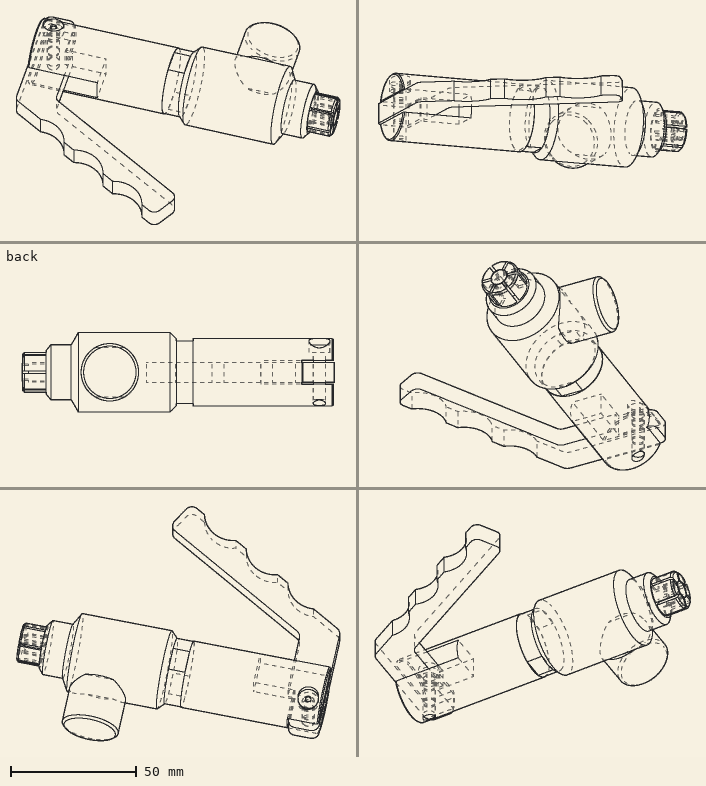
import cadquery as cq
import math


barrel_start = 0.4
barrel_chamfer = 0.5
barrel_radius = 27.0 / 2
neck_start = 56.1
neck_radius = 26.6 / 2
body_rear = 62.8
body_radius = 31.8 / 2
body_rear_chamfer = body_radius - neck_radius
cone_start = 101.8
nose_radius = 22.0 / 2
cone_angle = 60.0
nose_end = 114.6
nose_chamfer_length = 1.9
nose_shoulder_length = 1.1
nose_shoulder_radius = 10.0
nose_end_radius = 8.7

flat_spacing = 25.0

tip_radius = 15.9 / 2
tip_end = 123.9
tip_chamfer = 0.7
tip_slit_count = 6
tip_slit_width = 1.1
tip_slit_floor_radius = 4.2
tip_slit_step = 121.7
tip_core_radius = 7.0 / 2
tip_core_end = 124.2

port_x = 89.3
port_radius = 22.8 / 2
port_bottom = 12.4
port_top = 31.3
port_chamfer = 1.0

slot_width = 9.4
slot_end_upper = 12.9
slot_end_lower = 29.2

pin_x = 6.0
pin_y = 5.2
pin_diameter = 4.8
pin_hole_diameter = 5.0
head_diameter = 8.2
head_recess_diameter = 8.3
head_top = 10.9
head_bottom = 8.0
pin_dimple_diameter = 2.4
pin_dimple_depth = 1.0

lever_thickness = 8.0
lever_top = 15.5
foot_width = 12.4
shank_width = 15.4
shank_step_y = -0.4
handle_angle = 30.0
elbow_outer_y = -29.0
grip_line_y = -30.8
handle_width = 13.0
handle_length = 80.0
lever_fillet = 3.0
groove_radius = 11.4
groove_depth = 3.6
groove_count = 3
groove_pitch = 22.2
first_groove = 20.1


def make_turned_body():
    cone_end = cone_start + (body_radius - nose_radius) / math.tan(math.radians(cone_angle))
    profile = [
        (barrel_start, 0),
        (barrel_start, barrel_radius - barrel_chamfer),
        (barrel_start + barrel_chamfer, barrel_radius),
        (neck_start, barrel_radius),
        (neck_start, neck_radius),
        (body_rear, neck_radius),
        (body_rear + body_rear_chamfer, body_radius),
        (cone_start, body_radius),
        (cone_end, nose_radius),
        (nose_end - nose_chamfer_length, nose_radius),
        (nose_end - nose_shoulder_length, nose_shoulder_radius),
        (nose_end, nose_end_radius),
        (nose_end, tip_radius),
        (tip_end - tip_chamfer, tip_radius),
        (tip_end, tip_radius - tip_chamfer),
        (tip_end, tip_core_radius),
        (tip_core_end, tip_core_radius),
        (tip_core_end, 0),
    ]
    return cq.Workplane("XY").polyline(profile).close().revolve(360, (0, 0, 0), (1, 0, 0))


def cut_neck_flats(body):
    length = body_rear - neck_start
    for side in (1, -1):
        cutter = (
            cq.Workplane("XY")
            .box(length, 2 * barrel_radius, barrel_radius, centered=(False, True, True))
            .translate((neck_start, 0, side * (flat_spacing + barrel_radius) / 2))
        )
        body = body.cut(cutter)
    return body


def cut_tip_slits(body):
    """Radial slits around the tip, slightly deeper towards the free end."""
    slit = (
        cq.Workplane("XY", origin=(0, 0, -tip_slit_width / 2))
        .moveTo(nose_end, tip_radius)
        .lineTo(nose_end, tip_slit_floor_radius)
        .lineTo(tip_slit_step, tip_slit_floor_radius)
        .lineTo(tip_slit_step, tip_core_radius)
        .lineTo(tip_end, tip_core_radius)
        .lineTo(tip_end, tip_radius)
        .close()
        .extrude(tip_slit_width)
    )
    for index in range(tip_slit_count):
        body = body.cut(slit.rotate((0, 0, 0), (1, 0, 0), index * 360 / tip_slit_count))
    return body


def add_port(body):
    """Port whose flat underside overhangs the round body."""
    port = (
        cq.Workplane("XZ", origin=(port_x, port_bottom, 0))
        .circle(port_radius)
        .extrude(port_bottom - port_top)
        .faces(">Y")
        .chamfer(port_chamfer)
    )
    return body.union(port)


def cut_lever_slot(body):
    slot = (
        cq.Workplane("XY", origin=(0, 0, -slot_width / 2))
        .moveTo(0, -body_radius)
        .lineTo(slot_end_lower, -body_radius)
        .lineTo(slot_end_lower, 0)
        .lineTo(slot_end_upper, 0)
        .lineTo(slot_end_upper, body_radius)
        .lineTo(0, body_radius)
        .close()
        .extrude(slot_width)
    )
    return body.cut(slot)


def pivot_cylinder(diameter, bottom, top):
    return cq.Workplane("XY", origin=(pin_x, pin_y, bottom)).circle(diameter / 2).extrude(top - bottom)


def make_housing():
    body = make_turned_body()
    body = cut_neck_flats(body)
    body = cut_tip_slits(body)
    body = add_port(body)
    body = cut_lever_slot(body)
    body = body.cut(pivot_cylinder(pin_hole_diameter, -body_radius, body_radius))
    return body.cut(pivot_cylinder(head_recess_diameter, head_bottom, body_radius))


def handle_point(along, inward):
    """Point measured along the grip lands and inward from them."""
    cosine = math.cos(math.radians(handle_angle))
    sine = math.sin(math.radians(handle_angle))
    return (along * cosine + inward * sine, grip_line_y - along * sine + inward * cosine)


def make_lever():
    slope = math.tan(math.radians(handle_angle))
    cosine = math.cos(math.radians(handle_angle))
    elbow_outer = (0, elbow_outer_y)
    elbow_inner = (shank_width, grip_line_y + handle_width / cosine - shank_width * slope)
    elbow_offset = (elbow_outer_y - grip_line_y) * cosine
    end_inner = handle_point(handle_length, handle_width)
    end_outer = handle_point(handle_length, 0)
    foot_rear = (0, lever_top)
    foot_front = (foot_width, lever_top)
    outline = [
        foot_rear,
        foot_front,
        (foot_width, shank_step_y),
        (shank_width, shank_step_y),
        elbow_inner,
        end_inner,
        end_outer,
        handle_point(first_groove, 0),
        handle_point(first_groove, elbow_offset),
        elbow_outer,
    ]
    lever = (
        cq.Workplane("XY", origin=(0, 0, -lever_thickness / 2))
        .polyline(outline)
        .close()
        .extrude(lever_thickness)
    )
    for x, y in (foot_rear, foot_front, elbow_inner, end_inner, end_outer, elbow_outer):
        lever = lever.edges(cq.NearestToPointSelector((x, y, 0))).fillet(lever_fillet)
    groove_centres = [
        handle_point(first_groove + index * groove_pitch, groove_depth - groove_radius)
        for index in range(groove_count)
    ]
    grooves = (
        cq.Workplane("XY", origin=(0, 0, -lever_thickness / 2))
        .pushPoints(groove_centres)
        .circle(groove_radius)
        .extrude(lever_thickness)
    )
    lever = lever.cut(grooves)
    return lever.cut(pivot_cylinder(pin_hole_diameter, -lever_thickness, lever_thickness))


def make_pin():
    pin = pivot_cylinder(pin_diameter, -head_top, head_bottom)
    pin = pin.union(pivot_cylinder(head_diameter, head_bottom, head_top))
    return pin.cut(pivot_cylinder(pin_dimple_diameter, head_top - pin_dimple_depth, head_top))


housing = make_housing()
lever = make_lever()
pin = make_pin()

result = cq.Compound.makeCompound([housing.val(), lever.val(), pin.val()])